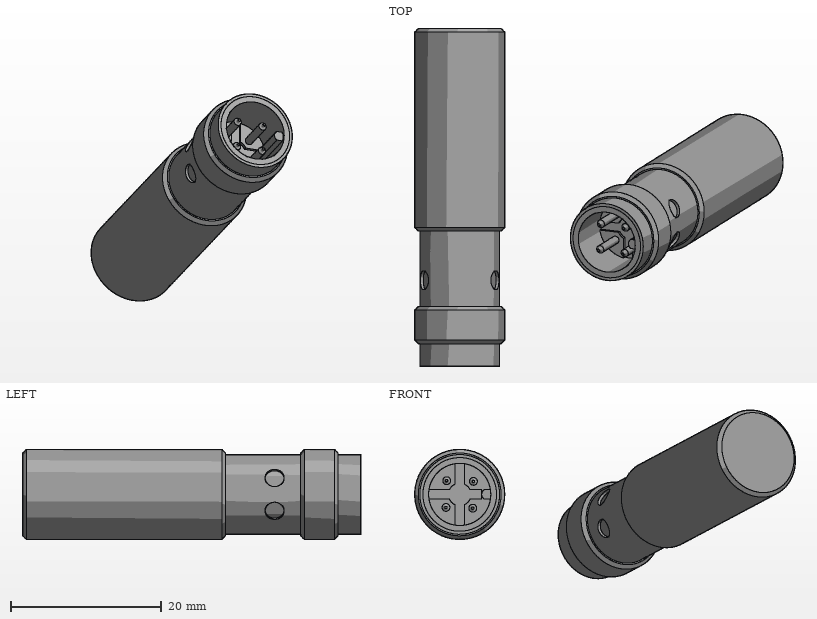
import cadquery as cq
import math


length = 45.0
front_y = -length / 2
barrel_diameter = 12.0
neck_diameter = 10.6
chamfer = 0.5
collar_front_depth = 3.0
collar_back_depth = 8.0
barrel_front_depth = 18.0

opening_diameter = 2.5
opening_depth = 11.48
opening_tilt = 25.0
opening_angles = [side + turn for side in (0, 180) for turn in (-opening_tilt, opening_tilt)]

insert_diameter = 9.8
insert_length = barrel_front_depth
socket_diameter = 8.3
socket_depth = 6.98

hub_diameter = 3.0
arm_width = 1.25
recess_depth = 0.45

key_width = arm_width
key_nose_x = 2.92
key_nose_height = 0.35
key_front_depth = 0.5

pin_count = 4
pin_diameter = 1.05
pin_tip_diameter = 0.3
pin_tip_length = 0.65
pin_circle_diameter = 5.05
pin_start_angle = 43.5
pin_front_depth = 1.35


def rod(diameter, start_depth, end_depth):
    """Round rod on the Y axis between two depths."""
    plane = cq.Workplane("XZ", origin=(0, front_y + end_depth, 0))
    return plane.circle(diameter / 2).extrude(end_depth - start_depth)


def wall_openings():
    """Radial drills that break through the neck wall from outside."""
    drills = cq.Workplane("XY")
    for angle in opening_angles:
        plane = cq.Workplane("YZ", origin=(0, front_y + opening_depth, 0))
        drill = plane.circle(opening_diameter / 2).extrude(barrel_diameter / 2)
        drills = drills.add(drill.rotate((0, 0, 0), (0, 1, 0), angle))
    return drills.combine()


def make_sleeve():
    """Stepped tube, closed at the back, with a collar round its neck."""
    neck = rod(neck_diameter, 0, barrel_front_depth)
    collar = rod(barrel_diameter, collar_front_depth, collar_back_depth).edges().chamfer(chamfer)
    barrel = rod(barrel_diameter, barrel_front_depth, length).edges().chamfer(chamfer)
    bore = rod(insert_diameter, 0, insert_length)
    return neck.union(collar).union(barrel).cut(bore).cut(wall_openings())


def cross_recess():
    """Hub and four arms sunk below the socket floor; the +X arm stops at the key."""
    recess_end = socket_depth + recess_depth
    plane = cq.Workplane("XZ", origin=(0, front_y + recess_end, 0))
    radius = socket_diameter / 2
    upright_arms = plane.rect(arm_width, socket_diameter).extrude(recess_depth)
    level_arms = plane.center((key_nose_x - radius) / 2, 0)
    level_arms = level_arms.rect(key_nose_x + radius, arm_width).extrude(recess_depth)
    arms = upright_arms.union(level_arms).intersect(rod(socket_diameter, socket_depth, recess_end))
    return arms.union(rod(hub_diameter, socket_depth, recess_end))


def key():
    """Rib on the socket wall with a rounded nose facing the axis."""
    half_width = key_width / 2
    shoulder_x = key_nose_x + key_nose_height
    root_x = (socket_diameter + insert_diameter) / 4
    outline = (
        cq.Workplane("XZ", origin=(0, front_y + socket_depth, 0))
        .moveTo(root_x, half_width)
        .lineTo(shoulder_x, half_width)
        .threePointArc((key_nose_x, 0), (shoulder_x, -half_width))
        .lineTo(root_x, -half_width)
        .close()
    )
    return outline.extrude(socket_depth - key_front_depth)


def pin(angle):
    """Contact pin with a hollow-flared tip, standing on the socket floor."""
    pin_radius = pin_diameter / 2
    tip_radius = pin_tip_diameter / 2
    tip_y = front_y + pin_front_depth
    flare_y = tip_y + pin_tip_length
    flare = pin_radius - tip_radius
    floor_y = front_y + socket_depth
    mid_flare = flare * (1 - math.sqrt(0.5))
    outline = (
        cq.Workplane("XY")
        .moveTo(0, tip_y)
        .lineTo(tip_radius, tip_y)
        .lineTo(tip_radius, flare_y - flare)
        .threePointArc((tip_radius + mid_flare, flare_y - mid_flare), (pin_radius, flare_y))
        .lineTo(pin_radius, floor_y)
        .lineTo(0, floor_y)
        .close()
    )
    shaft = outline.revolve(360, (0, 0, 0), (0, 1, 0))
    radius = pin_circle_diameter / 2
    x = radius * math.cos(math.radians(angle))
    z = radius * math.sin(math.radians(angle))
    return shaft.translate((x, 0, z))


def make_insert():
    """Plug insert: socket with a cross recess, a key and the contact pins."""
    body = rod(insert_diameter, 0, insert_length).cut(rod(socket_diameter, 0, socket_depth))
    body = body.cut(cross_recess()).union(key())
    for index in range(pin_count):
        body = body.union(pin(pin_start_angle + index * 360 / pin_count))
    return body


sleeve = make_sleeve()
insert = make_insert()
result = cq.Compound.makeCompound([sleeve.val(), insert.val()])